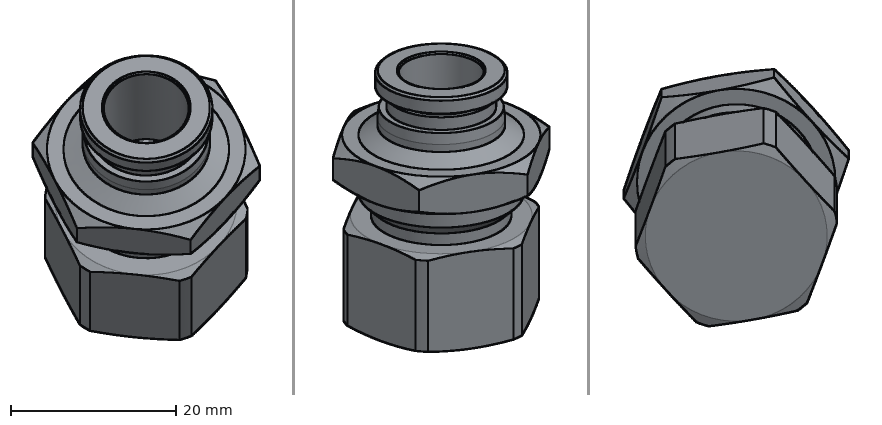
import cadquery as cq
import math

total_height = 32.3
hexagon_sides = 6
nut_across_flats = 24.0
base_across_flats = 22.0
base_corner_radius = 12.27

base_top = 12.95
neck_top = 14.5
barrel_cone_top = 16.0
nut_bottom = 18.7
nut_height = 5.0
shoulder_top = 25.0
sleeve_taper_start = 26.0
sleeve_top = 27.45
ring_top = 29.15
cap_bottom = 30.25
cap_chamfer = 0.32

neck_radius = 8.5
barrel_radius = 10
sleeve_radius = 7.72
sleeve_top_radius = 7.55
ring_radius = 6.65
stem_radius = 5.9
cap_radius = 8.0

bore_radius = 5.15
bore_mouth_radius = 5.35
bore_chamfer_depth = 0.23
bore_floor = nut_bottom

nut_chamfer_angle = 30
base_chamfer_angle = 17

nut_top = nut_bottom + nut_height


def revolve_profile(points):
    """Revolve (radius, z) points about the Z axis."""
    return cq.Workplane("XZ").polyline(points).close().revolve(360, (0, 0, 0), (0, 1, 0))


def corner_radius(across_flats):
    """Distance from the centre of a hexagon to its corners."""
    return across_flats / 2 / math.cos(math.pi / hexagon_sides)


def chamfered_hexagon(across_flats, bottom, top, outer_radius, angle):
    """Hexagon with corners on the X axis, trimmed by a cone at each end and by an outer cylinder."""
    corner_diameter = 2 * corner_radius(across_flats)
    hexagon = (
        cq.Workplane("XY")
        .workplane(offset=bottom)
        .polygon(hexagon_sides, corner_diameter)
        .extrude(top - bottom)
    )
    flat_radius = across_flats / 2
    drop = (outer_radius - flat_radius) * math.tan(math.radians(angle))
    envelope = revolve_profile([
        (0, bottom),
        (flat_radius, bottom),
        (outer_radius, bottom + drop),
        (outer_radius, top - drop),
        (flat_radius, top),
        (0, top),
    ])
    return hexagon.intersect(envelope)


def round_body():
    """Stepped round body running through both hexagons up to the release cap."""
    return revolve_profile([
        (0, 0),
        (neck_radius, 0),
        (neck_radius, neck_top),
        (barrel_radius, barrel_cone_top),
        (barrel_radius, nut_top),
        (sleeve_radius, shoulder_top),
        (sleeve_radius, sleeve_taper_start),
        (sleeve_top_radius, sleeve_top),
        (ring_radius, sleeve_top),
        (ring_radius, ring_top),
        (stem_radius, ring_top),
        (stem_radius, cap_bottom),
        (cap_radius, cap_bottom),
        (cap_radius, total_height - cap_chamfer),
        (cap_radius - cap_chamfer, total_height),
        (0, total_height),
    ])


def tube_socket():
    """Blind bore with a chamfered mouth."""
    return revolve_profile([
        (0, bore_floor),
        (bore_radius, bore_floor),
        (bore_radius, total_height - bore_chamfer_depth),
        (bore_mouth_radius, total_height),
        (0, total_height),
    ])


nut = chamfered_hexagon(
    nut_across_flats, nut_bottom, nut_top, corner_radius(nut_across_flats), nut_chamfer_angle
)
base = chamfered_hexagon(base_across_flats, 0, base_top, base_corner_radius, base_chamfer_angle)

result = round_body().union(nut).union(base).cut(tube_socket())